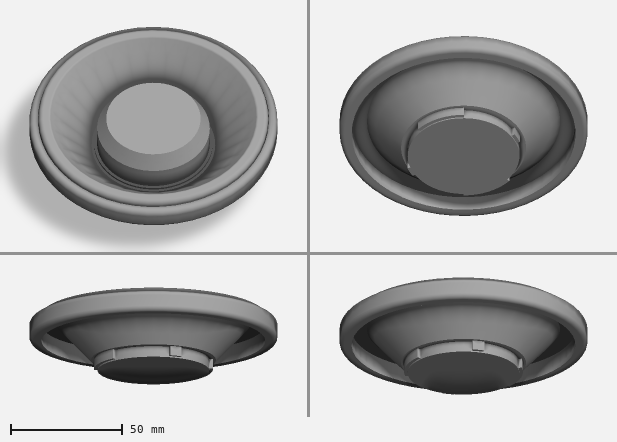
import cadquery as cq
import math

RIM_RADIUS = 55.5
RIM_BOTTOM = 13.5
RIM_TOP = 23.0
RIM_BORE_RADIUS = 50.1
RIM_EDGE_FILLET = 2.1
SEAT_RADIUS = 51.7
SEAT_HEIGHT = 21.1

FLANGE_RADIUS = 51.4
FLANGE_TOP = 25.5
FLANGE_FILLET = 2.0
MOUTH_RADIUS = 46.4
MOUTH_FILLET = 1.3
FLOOR_RADIUS = 27.6
FLOOR_BOTTOM = 4.9
FLOOR_THICKNESS = 0.7
FLOOR_TOP = FLOOR_BOTTOM + FLOOR_THICKNESS
CONE_RUN_PER_RISE = (MOUTH_RADIUS - FLOOR_RADIUS) / (FLANGE_TOP - FLOOR_TOP)
UNDERSIDE_RADIUS = FLOOR_RADIUS + 0.3

PLUG_RADIUS = 50.0 / 2
COLLAR_RADIUS = 53.0 / 2
COLLAR_THICKNESS = 0.9
COLLAR_TOP = FLOOR_TOP + COLLAR_THICKNESS
GRIP_RADIUS = 50.4 / 2
SHOULDER_HEIGHT = 16.8
KNOB_TOP_RADIUS = 21.1
KNOB_TOP = 23.4

LUG_RADIUS = 53.2 / 2
LUG_BOTTOM = 0.5
WIDE_LUG_START = 142.5
WIDE_LUG_SPAN = 50.5
NARROW_LUG_START = 252.0
NARROW_LUG_SPAN = 11.8


def revolve_profile(points):
    """Revolve a closed (radius, height) outline about the Z axis."""
    return cq.Workplane("XZ").polyline(points).close().revolve(360, (0, 0, 0), (0, 1, 0))


def circle_edge(radius, height):
    """Select the circular edge of the given radius and height."""
    margin = 0.1
    reach = radius + margin
    return cq.selectors.BoxSelector(
        (-reach, -reach, height - margin), (reach, reach, height + margin), boundingbox=True
    ) - cq.selectors.BoxSelector(
        (margin - radius, margin - radius, height - margin),
        (radius - margin, radius - margin, height + margin),
        boundingbox=True,
    )


def make_rim():
    rim = revolve_profile([
        (RIM_BORE_RADIUS, RIM_BOTTOM),
        (RIM_RADIUS, RIM_BOTTOM),
        (RIM_RADIUS, RIM_TOP),
        (SEAT_RADIUS, RIM_TOP),
        (SEAT_RADIUS, SEAT_HEIGHT),
        (RIM_BORE_RADIUS, SEAT_HEIGHT),
    ])
    for height in (RIM_BOTTOM, RIM_TOP):
        rim = rim.edges(circle_edge(RIM_RADIUS, height)).fillet(RIM_EDGE_FILLET)
    return rim


def make_funnel():
    flange_root_radius = UNDERSIDE_RADIUS + CONE_RUN_PER_RISE * (SEAT_HEIGHT - FLOOR_BOTTOM)
    funnel = revolve_profile([
        (PLUG_RADIUS, FLOOR_BOTTOM),
        (UNDERSIDE_RADIUS, FLOOR_BOTTOM),
        (flange_root_radius, SEAT_HEIGHT),
        (FLANGE_RADIUS, SEAT_HEIGHT),
        (FLANGE_RADIUS, FLANGE_TOP),
        (MOUTH_RADIUS, FLANGE_TOP),
        (FLOOR_RADIUS, FLOOR_TOP),
        (PLUG_RADIUS, FLOOR_TOP),
    ])
    funnel = funnel.edges(circle_edge(FLANGE_RADIUS, FLANGE_TOP)).fillet(FLANGE_FILLET)
    return funnel.edges(circle_edge(MOUTH_RADIUS, FLANGE_TOP)).fillet(MOUTH_FILLET)


def make_lug(start_angle, span):
    """Sector from the knob axis out to the lug radius, below the funnel floor."""
    def on_arc(angle):
        radians = math.radians(angle)
        return (LUG_RADIUS * math.cos(radians), LUG_RADIUS * math.sin(radians))

    return (
        cq.Workplane("XY", origin=(0, 0, LUG_BOTTOM))
        .lineTo(*on_arc(start_angle))
        .threePointArc(on_arc(start_angle + span / 2), on_arc(start_angle + span))
        .close()
        .extrude(FLOOR_BOTTOM - LUG_BOTTOM)
    )


def make_knob():
    knob = revolve_profile([
        (0, 0),
        (PLUG_RADIUS, 0),
        (PLUG_RADIUS, FLOOR_TOP),
        (COLLAR_RADIUS, FLOOR_TOP),
        (COLLAR_RADIUS, COLLAR_TOP),
        (GRIP_RADIUS, COLLAR_TOP),
        (GRIP_RADIUS, SHOULDER_HEIGHT),
        (KNOB_TOP_RADIUS, KNOB_TOP),
        (0, KNOB_TOP),
    ])
    for half_turn in (0, 180):
        knob = knob.union(make_lug(WIDE_LUG_START + half_turn, WIDE_LUG_SPAN))
        knob = knob.union(make_lug(NARROW_LUG_START + half_turn, NARROW_LUG_SPAN))
    return knob


rim = make_rim()
funnel = make_funnel()
knob = make_knob()

result = cq.Compound.makeCompound([rim.val(), funnel.val(), knob.val()])